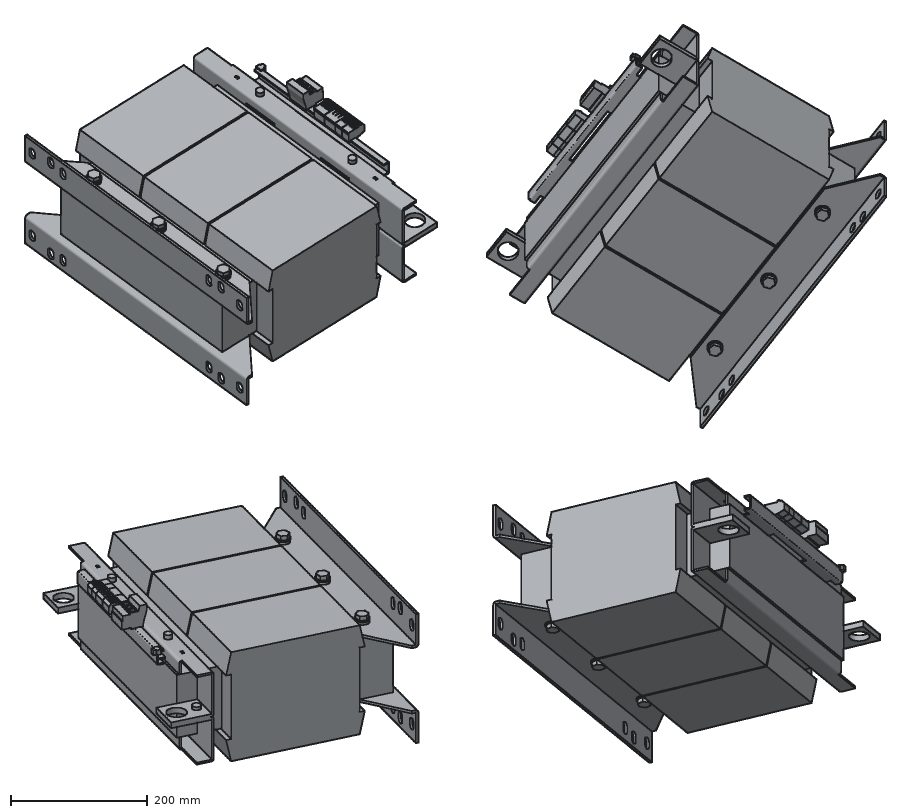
import cadquery as cq


LEG_PITCH = 140.0
LEG_WIDTH = 69.0
CORE_WIDTH = 2 * LEG_PITCH + LEG_WIDTH
CORE_FRONT = 11.5
CORE_BACK = 360.0
CORE_HALF_HEIGHT = 52.0
WINDOW_FRONT = CORE_FRONT + LEG_WIDTH
WINDOW_BACK = CORE_BACK - LEG_WIDTH
COIL_WIDTH = 137.5
COIL_HALF_HEIGHT = 90.0
COIL_FRONT = WINDOW_FRONT
COIL_BACK = 288.0
COIL_OVERHANG = 8.0
YOKE_CLEARANCE = 1.5

FOOT_LENGTH = 480.0
FOOT_TOP = 106.5
FOOT_SHEET = 4.5
FOOT_BEND = 6.0
FOOT_DEPTH = 66.0
FOOT_STRAIGHT = 11.0
FOOT_SLOTS = [(224.5, 81.5, 12.5, 18.0), (184.5, 90.0, 12.5, 19.0), (158.0, 86.0, 11.5, 19.0)]

BOLT_Y = 45.5
WASHER_RADIUS = 11.0
WASHER_HEIGHT = 4.5
COLLAR_RADIUS = 11.5
COLLAR_HEIGHT = 2.0
HEAD_CORNERS = 20.0
HEAD_HEIGHT = 7.0
HEAD_TURN = 15

CHANNEL_LENGTH = 452.0
CHANNEL_FRONT = 323.5
CHANNEL_BACK = 356.0
CHANNEL_HEIGHT = 74.0
CHANNEL_SHEET = 3.5
CHANNEL_BEND = 5.0
FLANGE_END = 351.5
LUG_WIDTH = 52.0
LUG_SHEET = 5.0
LUG_BACK = 392.5
LUG_HOLE_Y = 372.0
LUG_HOLE_DIAMETER = 30.5
CHANNEL_BOLT_X = 100.0
CHANNEL_BOLT_Y = 340.0
CHANNEL_HEAD_RADIUS = 6.0
CHANNEL_HEAD_HEIGHT = 7.0
CHANNEL_SHANK_RADIUS = 4.0
CHANNEL_SLOT_X = 150.0
CHANNEL_SLOT = (6.0, 3.5)
LUG_SCREW_RADIUS = 6.5
LUG_SCREW_HEIGHT = 5.5

RAIL_LENGTH = 280.5
RAIL_SHEET = 2.5
RAIL_BEND = 4.0
RAIL_BOTTOM = 55.0
RAIL_TOP = 78.5
RAIL_FRONT = 365.5
RAIL_BACK = 377.0
TAB_INNER = 50.0
TAB_OUTER = 125.5
TONGUE_OUTER = 111.5
TONGUE_FRONT = 321.5
CLAMP_X = (-142.0, -131.0)
CLAMP_Y = (370.5, 378.0)
CLAMP_Z = (73.0, 81.0)
CLAMP_NOSE_X = (-140.0, -133.0)
CLAMP_NOSE_BACK = 382.0

LARGE_TERMINAL_X = (-60.0, -24.0)
LARGE_POLES = 3
SMALL_TERMINAL_EDGES = [-6.5, 16.0, 39.5, 54.0, 69.0]
SMALL_TERMINAL_GAP = 0.5
SMALL_SLOTS = [5, 3, 4, 4]


def block(x, y, z):
    """Box from (low, high) pairs along each axis."""
    size = [high - low for low, high in (x, y, z)]
    return cq.Workplane("XY").box(*size, centered=False).translate((x[0], y[0], z[0]))


def prism(points, x):
    """Outline of (y, z) points extruded between two x values."""
    outline = cq.Workplane("YZ", origin=(x[0], 0, 0)).polyline(points).close()
    return outline.extrude(x[1] - x[0])


def disc(x, y, z, radius, height):
    return cq.Workplane("XY", origin=(x, y, z)).circle(radius).extrude(height)


def both_sides(low, high):
    """The same x range on the left and on the right of the middle."""
    return [(-high, -low), (low, high)]


def make_core():
    half = CORE_WIDTH / 2
    height = (-CORE_HALF_HEIGHT, CORE_HALF_HEIGHT)
    core = block((-half, half), (CORE_FRONT, CORE_BACK), height)
    window = (LEG_WIDTH / 2, LEG_PITCH - LEG_WIDTH / 2)
    for x in both_sides(*window):
        core = core.cut(block(x, (WINDOW_FRONT, WINDOW_BACK), height))
    return core


def make_coil(x):
    bulge_base = CORE_HALF_HEIGHT + YOKE_CLEARANCE
    half = [
        (COIL_FRONT, bulge_base),
        (COIL_FRONT - COIL_OVERHANG, bulge_base),
        (COIL_FRONT, COIL_HALF_HEIGHT),
        (COIL_BACK, COIL_HALF_HEIGHT),
        (COIL_BACK + COIL_OVERHANG, bulge_base),
        (COIL_BACK, bulge_base),
    ]
    mirrored = [(y, -z) for y, z in reversed(half)]
    return prism(half + mirrored, (x - COIL_WIDTH / 2, x + COIL_WIDTH / 2))


def make_foot():
    """Upper foot angle with slotted upright and tapered base."""
    half = FOOT_LENGTH / 2
    base = CORE_HALF_HEIGHT
    section = [
        (0, base),
        (FOOT_DEPTH, base),
        (FOOT_DEPTH, base + FOOT_SHEET),
        (FOOT_SHEET, base + FOOT_SHEET),
        (FOOT_SHEET, FOOT_TOP),
        (0, FOOT_TOP),
    ]
    foot = prism(section, (-half, half))
    foot = foot.edges("|X").edges("<Y").edges("<Z").fillet(FOOT_BEND)
    plan = [
        (-half, 0),
        (half, 0),
        (half, FOOT_STRAIGHT),
        (CORE_WIDTH / 2, FOOT_DEPTH),
        (-CORE_WIDTH / 2, FOOT_DEPTH),
        (-half, FOOT_STRAIGHT),
    ]
    foot = foot.intersect(cq.Workplane("XY").polyline(plan).close().extrude(FOOT_TOP))
    for x, z, width, length in FOOT_SLOTS:
        slots = cq.Workplane("XZ").pushPoints([(-x, z), (x, z)]).slot2D(length, width, 90)
        foot = foot.cut(slots.extrude(-FOOT_SHEET))
    return foot


def make_bolt_head(x, z):
    """Hexagon head with its collar, standing on height z."""
    hexagon = cq.Workplane("XY").polygon(6, HEAD_CORNERS).extrude(HEAD_HEIGHT)
    hexagon = hexagon.rotate((0, 0, 0), (0, 0, 1), HEAD_TURN)
    hexagon = hexagon.translate((x, BOLT_Y, z + COLLAR_HEIGHT))
    return hexagon.union(disc(x, BOLT_Y, z, COLLAR_RADIUS, COLLAR_HEIGHT))


def make_foot_bolt(x):
    """Head on a washer above the upper foot, plain head below the lower foot."""
    sheet_top = CORE_HALF_HEIGHT + FOOT_SHEET
    washer = disc(x, BOLT_Y, sheet_top, WASHER_RADIUS, WASHER_HEIGHT)
    upper_head = make_bolt_head(x, sheet_top + WASHER_HEIGHT)
    lower_head = make_bolt_head(x, sheet_top).mirror("XY")
    return washer.union(upper_head).union(lower_head)


def make_channel():
    """Upper clamping channel; its lip rests on the core between the lugs."""
    half = CHANNEL_LENGTH / 2
    lip_half = half - LUG_WIDTH
    sheet = CHANNEL_SHEET
    channel = block((-half, half), (CHANNEL_FRONT, CHANNEL_BACK), (0, CHANNEL_HEIGHT))
    channel = channel.edges("|X").fillet(CHANNEL_BEND)
    inside = block(
        (-half, half),
        (CHANNEL_FRONT + sheet, CHANNEL_BACK - sheet),
        (LUG_SHEET, CHANNEL_HEIGHT - sheet),
    )
    channel = channel.cut(inside)
    for x in both_sides(lip_half, half):
        channel = channel.cut(block(x, (FLANGE_END, CHANNEL_BACK), (0, CHANNEL_HEIGHT)))
        lug = block(x, (CHANNEL_FRONT + CHANNEL_BEND, LUG_BACK), (0, LUG_SHEET))
        hole = disc(sum(x) / 2, LUG_HOLE_Y, 0, LUG_HOLE_DIAMETER / 2, LUG_SHEET)
        channel = channel.union(lug.cut(hole))
    return channel


def add_channel_details(channel):
    """Slots, clamping bolts and lug screws of the upper channel."""
    flange_bottom = CHANNEL_HEIGHT - CHANNEL_SHEET
    lug_middle = (CHANNEL_LENGTH - LUG_WIDTH) / 2
    y = CHANNEL_BOLT_Y
    for side in (-1, 1):
        slot = cq.Workplane("XY", origin=(side * CHANNEL_SLOT_X, y, flange_bottom))
        channel = channel.cut(slot.rect(*CHANNEL_SLOT).extrude(CHANNEL_SHEET))
        x = side * CHANNEL_BOLT_X
        shank_length = CHANNEL_HEIGHT - CORE_HALF_HEIGHT
        shank = disc(x, y, CORE_HALF_HEIGHT, CHANNEL_SHANK_RADIUS, shank_length)
        head = disc(x, y, CHANNEL_HEIGHT, CHANNEL_HEAD_RADIUS, CHANNEL_HEAD_HEIGHT)
        screw = disc(side * lug_middle, y, LUG_SHEET, LUG_SCREW_RADIUS, LUG_SCREW_HEIGHT)
        channel = channel.union(shank).union(head).union(screw)
    return channel


def make_rail():
    """Folded rail on two tabs that reach through the upper channel."""
    half = RAIL_LENGTH / 2
    rail = block((-half, half), (RAIL_FRONT, RAIL_BACK), (RAIL_BOTTOM, RAIL_TOP))
    rail = rail.edges("|X and >Y").fillet(RAIL_BEND)
    inside = block(
        (-half, half),
        (RAIL_FRONT, RAIL_BACK - RAIL_SHEET),
        (RAIL_BOTTOM + RAIL_SHEET, RAIL_TOP - RAIL_SHEET),
    )
    rail = rail.cut(inside)
    tab_height = (RAIL_BOTTOM, RAIL_BOTTOM + RAIL_SHEET)
    for x in both_sides(TAB_INNER, TAB_OUTER):
        rail = rail.union(block(x, (CHANNEL_BACK, RAIL_FRONT), tab_height))
    for x in both_sides(TAB_INNER, TONGUE_OUTER):
        rail = rail.union(block(x, (TONGUE_FRONT, CHANNEL_BACK), tab_height))
    nose = block(CLAMP_NOSE_X, (CLAMP_Y[1], CLAMP_NOSE_BACK), CLAMP_Z)
    return rail.union(block(CLAMP_X, CLAMP_Y, CLAMP_Z)).union(nose)


def make_large_terminal():
    top = 105.0
    section = [
        (396.5, 80.0),
        (396.5, 94.0),
        (395.0, 94.0),
        (395.0, 102.5),
        (383.0, 102.5),
        (383.0, top),
        (369.5, top),
        (367.5, 114.0),
        (356.0, 114.0),
        (356.0, 104.5),
        (361.0, 87.5),
        (362.5, 78.0),
        (381.5, 78.0),
        (381.5, 80.0),
    ]
    terminal = prism(section, LARGE_TERMINAL_X)
    left, right = LARGE_TERMINAL_X
    pitch = 11.0
    pocket_width = 7.0
    pocket_y = (371.0, 380.0)
    pocket_depth = 5.0
    for pole in range(LARGE_POLES):
        middle = (left + right) / 2 + (pole - (LARGE_POLES - 1) / 2) * pitch
        x = (middle - pocket_width / 2, middle + pocket_width / 2)
        terminal = terminal.cut(block(x, pocket_y, (top - pocket_depth, top)))
    return terminal


def make_small_terminal(x, slot_count):
    top = 96.0
    section = [
        (362.0, 77.0),
        (362.0, 92.0),
        (361.0, 92.0),
        (361.0, top),
        (381.0, top),
        (382.0, 99.0),
        (384.5, 99.0),
        (385.5, 97.0),
        (389.0, 97.0),
        (393.0, 92.0),
        (393.0, 80.5),
        (381.5, 77.0),
    ]
    terminal = prism(section, x)
    slot_width = 1.0
    slot_y = (373.5, 379.0)
    slot_depth = 4.0
    pitch = (x[1] - x[0]) / (slot_count + 1)
    for index in range(slot_count):
        middle = x[0] + (index + 1) * pitch
        slot_x = (middle - slot_width / 2, middle + slot_width / 2)
        terminal = terminal.cut(block(slot_x, slot_y, (top - slot_depth, top)))
    return terminal


result = make_core()
for leg in (-1, 0, 1):
    result = result.union(make_coil(leg * LEG_PITCH))

upper_foot = make_foot()
result = result.union(upper_foot).union(upper_foot.mirror("XY"))
for leg in (-1, 0, 1):
    result = result.union(make_foot_bolt(leg * LEG_PITCH))

plain_channel = make_channel()
result = result.union(plain_channel.mirror("XY")).union(add_channel_details(plain_channel))

result = result.union(make_rail()).union(make_large_terminal())
small_edges = zip(SMALL_TERMINAL_EDGES, SMALL_TERMINAL_EDGES[1:])
for (left_edge, right_edge), slot_total in zip(small_edges, SMALL_SLOTS):
    result = result.union(make_small_terminal((left_edge, right_edge - SMALL_TERMINAL_GAP), slot_total))